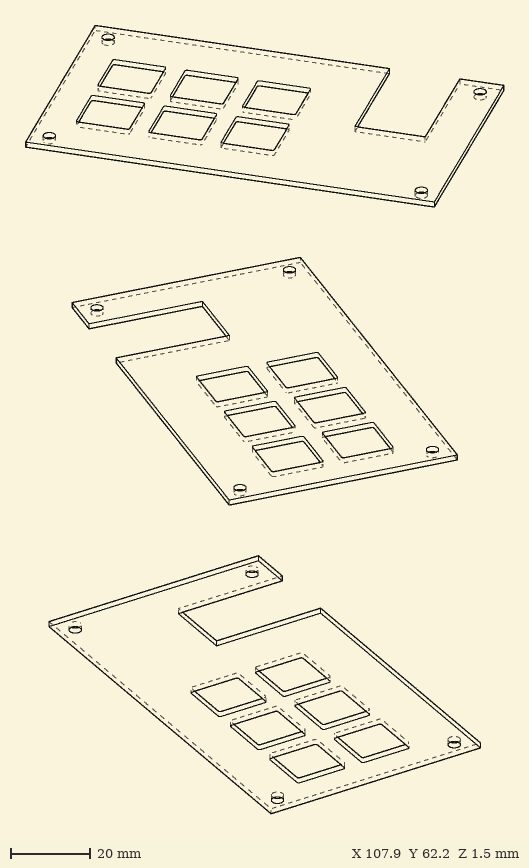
import cadquery as cq

length = 107.9
width = 62.2
thickness = 1.5

hole_diameter = 3.1
hole_inset = 4.9

window_size = 14.0
window_corner_radius = 0.5
window_pitch = 19.1
window_columns = 3
window_rows = 2
grid_center_x = 35.4
grid_center_y = 30.2

notch_left = 77.7
notch_width = 18.6
notch_depth = 30.9


def make_plate():
    return cq.Workplane("XY").box(length, width, thickness, centered=False)


def mounting_holes():
    return (
        cq.Workplane("XY")
        .center(length / 2, width / 2)
        .rect(length - 2 * hole_inset, width - 2 * hole_inset, forConstruction=True)
        .vertices()
        .circle(hole_diameter / 2)
        .extrude(thickness)
    )


def windows():
    window = (
        cq.Workplane("XY")
        .rect(window_size, window_size)
        .extrude(thickness)
        .edges("|Z")
        .fillet(window_corner_radius)
        .val()
    )
    return (
        cq.Workplane("XY")
        .center(grid_center_x, grid_center_y)
        .rarray(window_pitch, window_pitch, window_columns, window_rows)
        .eachpoint(lambda place: window.moved(place))
    )


def notch():
    return (
        cq.Workplane("XY")
        .box(notch_width, notch_depth, thickness, centered=False)
        .translate((notch_left, width - notch_depth, 0))
    )


result = make_plate().cut(mounting_holes()).cut(windows()).cut(notch())